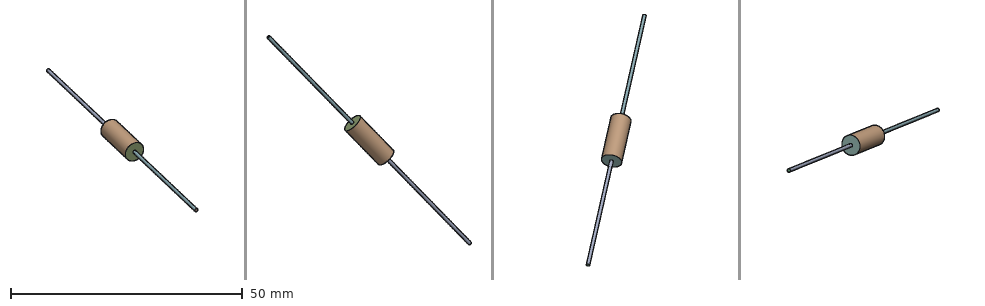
import cadquery as cq

overall_length = 67.0
body_length = 11.1
body_diameter = 4.5
lead_diameter = 0.8
lead_length = (overall_length - body_length) / 2


def cylinder_along_x(start_x, length, diameter):
    """Solid cylinder on the X axis, running toward +X from start_x."""
    return cq.Workplane("YZ", origin=(start_x, 0, 0)).circle(diameter / 2).extrude(length)


def make_body():
    return cylinder_along_x(-body_length / 2, body_length, body_diameter)


def make_lead(start_x):
    return cylinder_along_x(start_x, lead_length, lead_diameter)


body = make_body()

lead_starts = [-overall_length / 2, body_length / 2]
leads = [make_lead(start_x) for start_x in lead_starts]

result = cq.Compound.makeCompound([body.val(), *[lead.val() for lead in leads]])